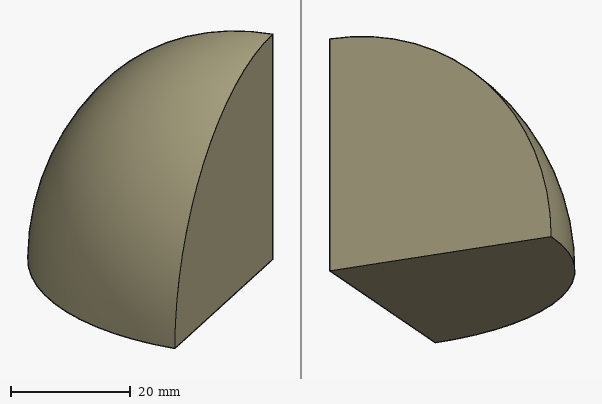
import cadquery as cq

ball_radius = 41.0
quarter_turn = 90.0
half_turn = 180.0


def make_ball_octant(radius):
    """Upper hemisphere limited to a quarter turn, then turned into the -X, -Y quadrant."""
    octant = cq.Workplane("XY").sphere(radius, angle1=0, angle2=quarter_turn, angle3=quarter_turn)
    return octant.rotate((0, 0, 0), (0, 0, 1), half_turn)


ball_octant = make_ball_octant(ball_radius)

result = cq.Compound.makeCompound([ball_octant.val()])